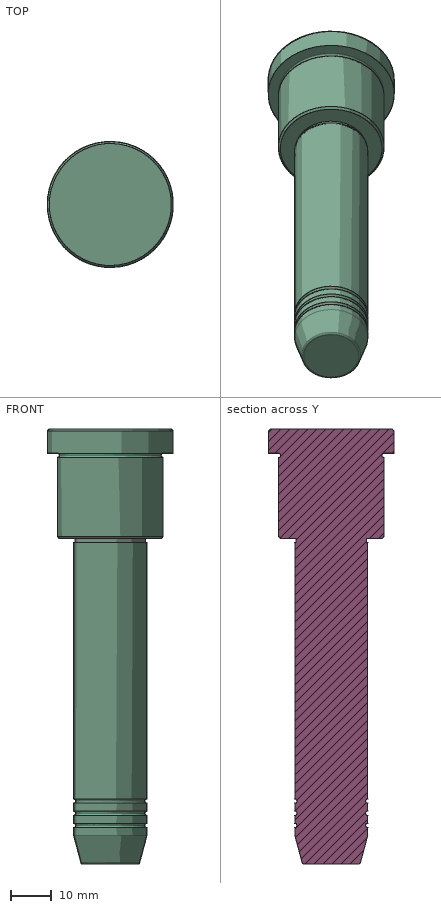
import cadquery as cq
import math

head_height = 6.0
body_end = 27.0
first_groove_start = 91.0
tip_start = 100.0
total_length = 107.0

head_radius = 31.0 / 2
body_radius = 26.0 / 2
shaft_radius = 18.0 / 2

edge_chamfer = 0.5
relief_width = 1.0
relief_depth = 0.3

groove_radius = 0.5
shaft_groove_count = 3
shaft_groove_pitch = 3.0

tip_angle = math.radians(15.0)
tip_fillet = 0.5


def make_pin():
    """Revolve the stepped pin: head, body, relief, shaft and conical tip."""
    relief_radius = shaft_radius - relief_depth
    relief_end = body_end + relief_width
    tip_end_radius = shaft_radius - (total_length - tip_start) * math.tan(tip_angle)
    radius_and_depth = [
        (0, 0),
        (head_radius - edge_chamfer, 0),
        (head_radius, edge_chamfer),
        (head_radius, head_height),
        (body_radius, head_height),
        (body_radius, body_end - edge_chamfer),
        (body_radius - edge_chamfer, body_end),
        (relief_radius, body_end),
        (relief_radius, relief_end),
        (shaft_radius, relief_end),
        (shaft_radius, tip_start),
        (tip_end_radius, total_length),
        (0, total_length),
    ]
    outline = [(-radius, -depth) for radius, depth in radius_and_depth]
    pin = cq.Workplane("XZ").polyline(outline).close().revolve(360, (0, 0, 0), (0, 1, 0))
    return pin.faces("<Z").edges().fillet(tip_fillet)


def groove_cutter(surface_radius, start):
    """Ring of round section, centred on the surface, whose top edge is at the given depth."""
    return (
        cq.Workplane("XZ")
        .center(-surface_radius, -start - groove_radius)
        .circle(groove_radius)
        .revolve(360, (surface_radius, 0, 0), (surface_radius, 1, 0))
    )


result = make_pin()

result = result.cut(groove_cutter(body_radius, head_height))

for index in range(shaft_groove_count):
    groove_start = first_groove_start + index * shaft_groove_pitch
    result = result.cut(groove_cutter(shaft_radius, groove_start))